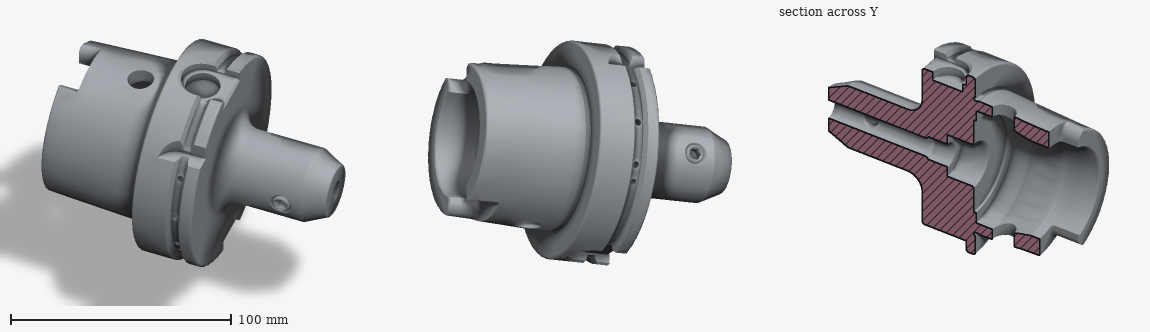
import cadquery as cq
import math


LENGTH = 130.0

TAPER_END_X = 47.7
TAPER_TIP_R = 35.4
TAPER_SLOPE = 0.05
TAPER_TIP_FILLET = 0.9
RELIEF_START_X = 48.6
RELIEF_R = 37.3
RELIEF_FACE_R = 38.9
RELIEF_FACE_DEPTH = 0.4

FLANGE_X = 49.9
FLANGE_END_X = 79.0
FLANGE_DIAMETER = 100.0
FLANGE_R = FLANGE_DIAMETER / 2
FRONT_RIM_FILLET = 1.2
BACK_RIM_FILLET = 0.98

GROOVE_X = 70.0
GROOVE_FLOOR_R = 46.0
GROOVE_HALF_WIDTH = 2.0
GROOVE_TOP_HALF_WIDTH = 3.4
GROOVE_FILLET = 0.6
GROOVE_FLANK_ANGLE = 30

NOSE_DIAMETER = 35.0
NOSE_R = NOSE_DIAMETER / 2
NOSE_FILLET = 8.0
NOSE_CONE_X = 119.3
NOSE_CONE_ANGLE = 26
NOSE_EDGE_FILLET = 1.7
NOSE_TIP_FILLET = 0.9

BORE_R = 26.5
BORE_CHAMFER = 0.58
UNDERCUT_X = 19.8
UNDERCUT_CONE_END_X = 39.8
UNDERCUT_R = 31.5
UNDERCUT_END_X = 49.4
SEAT_R = 25.7
BORE_FLOOR_X = 50.7
TUBE_BORE_R = 11.6
TUBE_BORE_CHAMFER = 0.8
TUBE_BORE_FLOOR_X = 65.0
FEED_R = 6.2
FEED_CHAMFER = 0.4
FEED_CONE_X = 75.4
FEED_CONE_LENGTH = 1.3
TOOL_BORE_DIAMETER = 10.0
TOOL_BORE_R = TOOL_BORE_DIAMETER / 2

KEYWAY_HALF_WIDTH = 10.0
KEYWAY_FLARE_R = KEYWAY_HALF_WIDTH / 2
KEYWAY_TOP_Z = 32.2
KEYWAY_END_FILLET = 1.5
UPPER_KEYWAY_DEPTH = 9.8
LOWER_KEYWAY_DEPTH = 14.8
LUG_CHAMFER_WIDTH = 1.2
LUG_CHAMFER_DEPTH = 0.5

ACCESS_HOLE_X = 34.7
ACCESS_HOLE_R = 6.0
ACCESS_HOLE_CHAMFER = 0.3

SLOT_X = 65.0
SLOT_HALF_WIDTH = 10.0
SLOT_FLOOR_Z = 44.0
SLOT_CHAMFER = 1.2
SLOT_BACK_CHAMFER = 1.2
CHIP_HOLE_R = 8.0
CHIP_HOLE_DEPTH = 4.5

NOTCH_X = 68.0
NOTCH_OFFSET = 31.6
NOTCH_END_R = 10.0

BALANCE_HOLE_R = 1.5
BALANCE_HOLE_DEPTH = 5.2
BALANCE_HOLE_ANGLES = (29.9, 4.5, -20.0, -30.0)

SCREW_X = 110.0
SCREW_R = 4.3
SCREW_OUTER_Y = -17.4
SCREW_LENGTH = 12.0
SCREW_CHAMFER = 0.8
SCREW_HOLE_CHAMFER = 1.0
HEX_WIDTH = 5.0
HEX_DEPTH = 5.0
HEX_CHAMFER_R = 3.4
RECESS_R = 6.8
RECESS_DEPTH = 2.6

CLEAR = 65.0
TOLERANCE = 0.01


def turned(points):
    """Solid of revolution about X from (x, radius) points."""
    return cq.Workplane("XY").polyline(points).close().revolve(360, (0, 0), (1, 0))


def ring_edges(body, x, radius):
    """Circular edges about the X axis at the given place and radius."""
    def at_ring(edge):
        point = edge.positionAt(0)
        on_radius = abs(math.hypot(point.y, point.z) - radius) < TOLERANCE
        return edge.geomType() == "CIRCLE" and on_radius and abs(point.x - x) < TOLERANCE

    return body.newObject([edge for edge in body.edges().vals() if at_ring(edge)])


def make_taper():
    """Hollow-shank taper with the relief that leads into the flange."""
    end_r = TAPER_TIP_R + TAPER_SLOPE * TAPER_END_X
    taper = turned([
        (0, 0),
        (0, TAPER_TIP_R),
        (TAPER_END_X, end_r),
        (RELIEF_START_X, RELIEF_R),
        (FLANGE_X + RELIEF_FACE_DEPTH, RELIEF_R),
        (FLANGE_X + RELIEF_FACE_DEPTH, 0),
    ])
    return ring_edges(taper, 0, TAPER_TIP_R).fillet(TAPER_TIP_FILLET)


def make_slot_cutter():
    """Slot at the +Z side of the flange, round in front and open at the back."""
    return (
        cq.Workplane("XY", origin=(0, 0, SLOT_FLOOR_Z))
        .moveTo(SLOT_X + CLEAR, SLOT_HALF_WIDTH)
        .lineTo(SLOT_X, SLOT_HALF_WIDTH)
        .threePointArc((SLOT_X - SLOT_HALF_WIDTH, 0), (SLOT_X, -SLOT_HALF_WIDTH))
        .lineTo(SLOT_X + CLEAR, -SLOT_HALF_WIDTH)
        .close()
        .extrude(CLEAR)
    )


def chamfer_slot_mouths(flange):
    """Break the edges where the slot walls meet the flange cylinder."""
    def is_mouth(edge):
        middle = edge.positionAt(0.5)
        on_surface = abs(math.hypot(middle.y, middle.z) - FLANGE_R) < TOLERANCE
        between_faces = FLANGE_X + TOLERANCE < middle.x < FLANGE_END_X - TOLERANCE
        is_seam = edge.geomType() == "LINE" and abs(middle.y) < TOLERANCE
        return on_surface and between_faces and not is_seam

    edges = [edge for edge in flange.edges().vals() if is_mouth(edge)]
    return flange.newObject(edges).chamfer(SLOT_CHAMFER)


def chamfer_slot_backs(flange):
    """Break the edges where the slot floors meet the back face of the flange."""
    def is_back(edge):
        middle = edge.positionAt(0.5)
        at_floor = abs(abs(middle.z) - SLOT_FLOOR_Z) < TOLERANCE
        return at_floor and abs(middle.x - FLANGE_END_X) < TOLERANCE

    edges = [edge for edge in flange.edges().vals() if is_back(edge)]
    return flange.newObject(edges).chamfer(SLOT_BACK_CHAMFER)


def make_groove_cutter():
    """Gripper groove: straight walls below flaring flanks."""
    flank_width = GROOVE_TOP_HALF_WIDTH - GROOVE_HALF_WIDTH
    flank_height = flank_width / math.tan(math.radians(GROOVE_FLANK_ANGLE))
    top = (GROOVE_TOP_HALF_WIDTH, FLANGE_R)
    knee = (GROOVE_HALF_WIDTH, FLANGE_R - flank_height)
    floor = (GROOVE_HALF_WIDTH, GROOVE_FLOOR_R)
    right_side = [floor, knee, top, (GROOVE_TOP_HALF_WIDTH, CLEAR)]
    left_side = [(-x, radius) for x, radius in reversed(right_side)]
    cutter = turned([(GROOVE_X + x, radius) for x, radius in right_side + left_side])
    for side in (-1, 1):
        edge_x = GROOVE_X + side * GROOVE_HALF_WIDTH
        cutter = ring_edges(cutter, edge_x, GROOVE_FLOOR_R).fillet(GROOVE_FILLET)
    return cutter


def make_notch_cutter():
    """Right-angled notch at the upper -Y side, with an end milled along Z."""
    return (
        cq.Workplane("XY", origin=(0, 0, NOTCH_OFFSET))
        .moveTo(NOTCH_X + CLEAR, -NOTCH_OFFSET)
        .lineTo(NOTCH_X, -NOTCH_OFFSET)
        .radiusArc((NOTCH_X - NOTCH_END_R, -NOTCH_OFFSET - NOTCH_END_R), -NOTCH_END_R)
        .lineTo(NOTCH_X - NOTCH_END_R, -CLEAR)
        .lineTo(NOTCH_X + CLEAR, -CLEAR)
        .close()
        .extrude(CLEAR)
    )


def make_balance_hole(angle):
    """Radial blind hole in the groove floor, turned from -Y about the X axis."""
    hole = cq.Workplane("XZ", origin=(GROOVE_X, -GROOVE_FLOOR_R + BALANCE_HOLE_DEPTH, 0))
    hole = hole.circle(BALANCE_HOLE_R).extrude(BALANCE_HOLE_DEPTH + GROOVE_HALF_WIDTH)
    return hole.rotate((0, 0, 0), (1, 0, 0), -angle)


def make_flange():
    """Slotted flange with its gripper groove, notch and holes."""
    flange = turned([
        (FLANGE_X, RELIEF_FACE_R),
        (FLANGE_X, FLANGE_R),
        (FLANGE_END_X, FLANGE_R),
        (FLANGE_END_X, 0),
        (FLANGE_X + RELIEF_FACE_DEPTH, 0),
        (FLANGE_X + RELIEF_FACE_DEPTH, RELIEF_FACE_R),
    ])
    slot = make_slot_cutter()
    flange = flange.cut(slot).cut(slot.mirror("XY"))
    flange = chamfer_slot_mouths(flange)
    flange = ring_edges(flange, FLANGE_X, FLANGE_R).fillet(FRONT_RIM_FILLET)
    flange = ring_edges(flange, FLANGE_END_X, FLANGE_R).fillet(BACK_RIM_FILLET)
    flange = chamfer_slot_backs(flange)
    flange = flange.cut(make_groove_cutter()).cut(make_notch_cutter())
    for angle in BALANCE_HOLE_ANGLES:
        flange = flange.cut(make_balance_hole(angle))
    chip_hole = cq.Workplane("XY", origin=(SLOT_X, 0, SLOT_FLOOR_Z - CHIP_HOLE_DEPTH))
    return flange.cut(chip_hole.circle(CHIP_HOLE_R).extrude(CLEAR))


def make_nose():
    """Cylindrical nose with a blended root and a conical tip."""
    tip_r = NOSE_R - (LENGTH - NOSE_CONE_X) * math.tan(math.radians(NOSE_CONE_ANGLE))
    root_r = NOSE_R + NOSE_FILLET
    nose = (
        cq.Workplane("XY")
        .moveTo(FLANGE_END_X, 0)
        .lineTo(FLANGE_END_X, root_r)
        .radiusArc((FLANGE_END_X + NOSE_FILLET, NOSE_R), -NOSE_FILLET)
        .lineTo(NOSE_CONE_X, NOSE_R)
        .lineTo(LENGTH, tip_r)
        .lineTo(LENGTH, 0)
        .close()
        .revolve(360, (0, 0), (1, 0))
    )
    nose = ring_edges(nose, NOSE_CONE_X, NOSE_R).fillet(NOSE_EDGE_FILLET)
    return ring_edges(nose, LENGTH, tip_r).fillet(NOSE_TIP_FILLET)


def make_bore_cutter():
    """All the coaxial bores, from the open taper to the nose tip."""
    return turned([
        (0, 0),
        (0, BORE_R + BORE_CHAMFER),
        (BORE_CHAMFER, BORE_R),
        (UNDERCUT_X, BORE_R),
        (UNDERCUT_CONE_END_X, UNDERCUT_R),
        (UNDERCUT_END_X, UNDERCUT_R),
        (UNDERCUT_END_X, SEAT_R),
        (BORE_FLOOR_X, SEAT_R),
        (BORE_FLOOR_X, TUBE_BORE_R + TUBE_BORE_CHAMFER),
        (BORE_FLOOR_X + TUBE_BORE_CHAMFER, TUBE_BORE_R),
        (TUBE_BORE_FLOOR_X, TUBE_BORE_R),
        (TUBE_BORE_FLOOR_X, FEED_R + FEED_CHAMFER),
        (TUBE_BORE_FLOOR_X + FEED_CHAMFER, FEED_R),
        (FEED_CONE_X, FEED_R),
        (FEED_CONE_X + FEED_CONE_LENGTH, TOOL_BORE_R),
        (LENGTH, TOOL_BORE_R),
        (LENGTH, 0),
    ])


def make_keyway_cutter(depth):
    """Keyway at the +Z side of the open end, narrow inside and flaring outwards."""
    flare_y = KEYWAY_HALF_WIDTH + KEYWAY_FLARE_R
    flare_z = KEYWAY_TOP_Z - KEYWAY_FLARE_R
    cutter = (
        cq.Workplane("YZ")
        .moveTo(-KEYWAY_HALF_WIDTH, 0)
        .lineTo(-KEYWAY_HALF_WIDTH, flare_z)
        .radiusArc((-flare_y, KEYWAY_TOP_Z), -KEYWAY_FLARE_R)
        .lineTo(-CLEAR, KEYWAY_TOP_Z)
        .lineTo(-CLEAR, CLEAR)
        .lineTo(CLEAR, CLEAR)
        .lineTo(CLEAR, KEYWAY_TOP_Z)
        .lineTo(flare_y, KEYWAY_TOP_Z)
        .radiusArc((KEYWAY_HALF_WIDTH, flare_z), -KEYWAY_FLARE_R)
        .lineTo(KEYWAY_HALF_WIDTH, 0)
        .close()
        .extrude(depth)
    )

    def is_end_side(edge):
        middle = edge.positionAt(0.5)
        return TOLERANCE < middle.z < KEYWAY_TOP_Z + TOLERANCE

    end_edges = [edge for edge in cutter.faces(">X").edges().vals() if is_end_side(edge)]
    cutter = cutter.newObject(end_edges).fillet(KEYWAY_END_FILLET)
    mouth_half_width = KEYWAY_HALF_WIDTH + LUG_CHAMFER_WIDTH
    mouth = (
        cq.Workplane("XY")
        .moveTo(0, mouth_half_width)
        .lineTo(LUG_CHAMFER_DEPTH, KEYWAY_HALF_WIDTH)
        .lineTo(LUG_CHAMFER_DEPTH, -KEYWAY_HALF_WIDTH)
        .lineTo(0, -mouth_half_width)
        .close()
        .extrude(CLEAR)
    )
    return cutter.union(mouth)


def chamfer_hole_rims(body, on_rim, size):
    """Chamfer the curved edges picked by a test on their middle point."""
    rims = [
        edge for edge in body.edges().vals()
        if edge.geomType() != "LINE" and on_rim(edge.positionAt(0.5))
    ]
    return body.newObject(rims).chamfer(size)


def cut_access_hole(body):
    """Radial hole along Z through both walls of the taper."""
    def on_rim(point):
        from_hole_axis = math.hypot(point.x - ACCESS_HOLE_X, point.y)
        return abs(point.z) > TAPER_TIP_R and abs(from_hole_axis - ACCESS_HOLE_R) < TOLERANCE

    hole = cq.Workplane("XY", origin=(ACCESS_HOLE_X, 0, 0)).circle(ACCESS_HOLE_R)
    body = body.cut(hole.extrude(CLEAR, both=True))
    return chamfer_hole_rims(body, on_rim, ACCESS_HOLE_CHAMFER)


def cut_screw_hole(body):
    """Radial hole for the screw, from the tool bore to the -Y side of the nose."""
    def on_rim(point):
        from_hole_axis = math.hypot(point.x - SCREW_X, point.z)
        return point.y < -TOOL_BORE_DIAMETER and abs(from_hole_axis - SCREW_R) < TOLERANCE

    hole = cq.Workplane("XZ", origin=(SCREW_X, 0, 0)).circle(SCREW_R).extrude(CLEAR)
    return chamfer_hole_rims(body.cut(hole), on_rim, SCREW_HOLE_CHAMFER)


def make_recess_cutter():
    """Shallow round recess at the +Y side of the nose."""
    recess = cq.Workplane("XZ", origin=(SCREW_X, NOSE_R - RECESS_DEPTH, 0))
    return recess.circle(RECESS_R).extrude(-CLEAR)


def make_holder():
    holder = make_taper().union(make_flange()).union(make_nose()).cut(make_bore_cutter())
    holder = holder.cut(make_keyway_cutter(UPPER_KEYWAY_DEPTH))
    holder = holder.cut(make_keyway_cutter(LOWER_KEYWAY_DEPTH).mirror("XY"))
    holder = cut_access_hole(holder)
    holder = cut_screw_hole(holder)
    return holder.cut(make_recess_cutter())


def make_screw():
    """Headless clamping screw with a hexagon socket, along Y."""
    hex_corner_diameter = HEX_WIDTH / math.cos(math.radians(30))
    screw = (
        cq.Workplane("XZ", origin=(SCREW_X, SCREW_OUTER_Y + SCREW_LENGTH, 0))
        .circle(SCREW_R)
        .extrude(SCREW_LENGTH)
        .edges("%CIRCLE")
        .chamfer(SCREW_CHAMFER)
    )
    socket = cq.Workplane("XZ", origin=(SCREW_X, SCREW_OUTER_Y + HEX_DEPTH, 0))
    socket = socket.polygon(6, hex_corner_diameter).extrude(HEX_DEPTH)
    countersink = cq.Solid.makeCone(
        HEX_CHAMFER_R,
        0,
        HEX_CHAMFER_R,
        pnt=cq.Vector(SCREW_X, SCREW_OUTER_Y, 0),
        dir=cq.Vector(0, 1, 0),
    )
    return screw.cut(socket).cut(cq.Workplane(countersink))


holder = make_holder()
screw = make_screw()

result = cq.Compound.makeCompound([holder.solids().val(), screw.solids().val()])